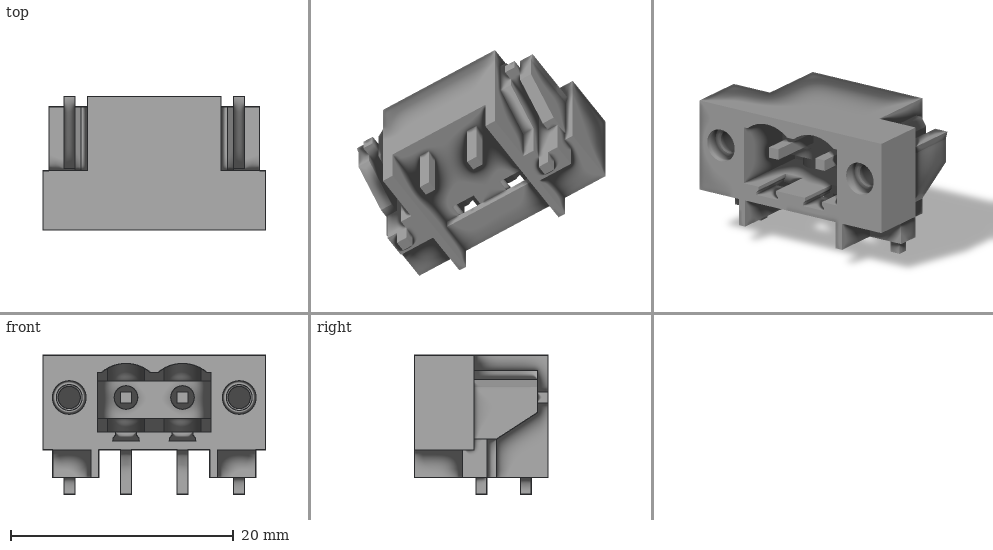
import cadquery as cq

WIDTH = 19.96
DEPTH = 12.0
HEIGHT = 11.0
TAIL_LENGTH = 1.5

FLANGE_DEPTH = 5.33
FOOT_HEIGHT = 2.5
BLOCK_HALF_WIDTH = 6.0

PIN_SIZE = 1.0
PIN_AXIS_Z = HEIGHT - 3.81
CONTACT_PITCH = 5.07
CONTACT_X = (-CONTACT_PITCH / 2, CONTACT_PITCH / 2)
CONTACT_TIP_Y = 1.0
CONTACT_REAR_Y = 10.5
ANCHOR_X = 7.6
ANCHOR_FRONT_Y = 5.5
SIDES = (-1, 1)

CAVITY_HALF_WIDTH = 5.1
CAVITY_DEPTH = 7.98
CAVITY_FLOOR_Z = HEIGHT - 6.89
CAVITY_CEILING_Z = HEIGHT - 1.55
ARCH_HALF_WIDTH = 2.18
ARCH_RISE = 0.8

SHELF_FRONT_Y = 5.99
SHELF_TOP_Z = HEIGHT - 2.34
SHELF_BOTTOM_Z = HEIGHT - 5.7
CONTACT_RECESS_DIAMETER = 2.12
CONTACT_RECESS_DEPTH = 0.5
PILLAR_HALF_WIDTH = 1.65
PILLAR_FACE_HALF_WIDTH = 1.25
PILLAR_FLANK_DEPTH = 0.64
PILLAR_DEPTH = 1.32

CODING_MOUTH_WIDTH = 1.9
CODING_BASE_WIDTH = 2.35
CODING_DEPTH = 0.82
CODING_MOUTH_HEIGHT = 0.32
CODING_BASE_HEIGHT = 0.24
CODING_LENGTH = 4.23
CODING_BASE_Z = CAVITY_FLOOR_Z - CODING_DEPTH
UNDERSIDE_FRONT_Y = 3.13

BUSH_X = 7.62
BUSH_AXIS_Z = PIN_AXIS_Z
BUSH_DIAMETER = 3.01
BUSH_BORE = 2.0
BUSH_MOUTH_DIAMETER = 2.32
BUSH_MOUTH_DEPTH = 0.1
BUSH_RECESS = 1.32
BUSH_LENGTH = 3.0

BRACKET_REAR_Y = 11.05
BRACKET_LIP_X = 9.45
BRACKET_OUTER_X = 9.26
BRACKET_WALL_TOP_Z = HEIGHT - 2.2
BRACKET_LIP_BASE_Z = HEIGHT - 2.91
BRACKET_RIB_TOP_Z = HEIGHT - 1.38
BRACKET_RIB_TOP_X = 6.59
BRACKET_SLOPE_TOP_Z = HEIGHT - 5.15
BRACKET_BASE_Z = HEIGHT - 7.55
BRACKET_BASE_REAR_Y = 7.37
ANCHOR_INNER_X = ANCHOR_X - PIN_SIZE / 2

FOOT_OUTER_X = 9.12
FOOT_FRONT_Y = 4.31
FOOT_REAR_Y = ANCHOR_FRONT_Y + PIN_SIZE
LEG_OUTER_X = 5.67
LEG_INNER_X = 4.97


def box(x_range, y_range, z_range):
    """Box between two limits on each axis, given in either order."""
    x0, x1 = sorted(x_range)
    y0, y1 = sorted(y_range)
    z0, z1 = sorted(z_range)
    return cq.Workplane("XY").box(x1 - x0, y1 - y0, z1 - z0, centered=False).translate((x0, y0, z0))


def prism_along_y(outline, y0, y1):
    """Prism with an XZ outline, running from y0 to y1."""
    return cq.Workplane("XZ", origin=(0, y0, 0)).polyline(outline).close().extrude(y0 - y1)


def cylinder_along_y(diameter, x, z, y0, y1):
    """Cylinder about the line at x and z, running from y0 to y1."""
    return cq.Workplane("XZ", origin=(x, y0, z)).circle(diameter / 2).extrude(y0 - y1)


def bent_pin(x, y_range, leg_rear_y):
    """Horizontal bar over y_range with a leg that ends below the feet."""
    x_range = (x - PIN_SIZE / 2, x + PIN_SIZE / 2)
    bar_z = (PIN_AXIS_Z - PIN_SIZE / 2, PIN_AXIS_Z + PIN_SIZE / 2)
    bar = box(x_range, y_range, bar_z)
    leg = box(x_range, (leg_rear_y - PIN_SIZE, leg_rear_y), (-TAIL_LENGTH, bar_z[1]))
    return bar.union(leg)


def contact_pin(x):
    return bent_pin(x, (CONTACT_TIP_Y, CONTACT_REAR_Y), CONTACT_REAR_Y)


def anchor_pin(side):
    return bent_pin(side * ANCHOR_X, (ANCHOR_FRONT_Y, DEPTH), FOOT_REAR_Y)


def screw_bush(side):
    y0 = BUSH_RECESS
    y1 = BUSH_RECESS + BUSH_LENGTH
    x = side * BUSH_X
    ring = cylinder_along_y(BUSH_DIAMETER, x, BUSH_AXIS_Z, y0, y1)
    ring = ring.cut(cylinder_along_y(BUSH_BORE, x, BUSH_AXIS_Z, y0, y1))
    mouth = (
        cq.Workplane("XZ", origin=(x, y0, BUSH_AXIS_Z))
        .circle(BUSH_MOUTH_DIAMETER / 2)
        .workplane(offset=-BUSH_MOUTH_DEPTH)
        .circle(BUSH_BORE / 2)
        .loft(ruled=True)
    )
    return ring.cut(mouth)


def housing_shell():
    flange = box((-WIDTH / 2, WIDTH / 2), (0, FLANGE_DEPTH), (FOOT_HEIGHT, HEIGHT))
    block = box((-BLOCK_HALF_WIDTH, BLOCK_HALF_WIDTH), (0, DEPTH), (FOOT_HEIGHT, HEIGHT))
    return flange.union(block)


def bracket(side):
    """Lipped outer wall and bevelled inner rib, with a sloped underside and a slot for the anchor pin."""
    section = [
        (side * BLOCK_HALF_WIDTH, BRACKET_RIB_TOP_Z),
        (side * BRACKET_RIB_TOP_X, BRACKET_RIB_TOP_Z),
        (side * ANCHOR_INNER_X, BRACKET_WALL_TOP_Z),
        (side * BRACKET_LIP_X, BRACKET_WALL_TOP_Z),
        (side * BRACKET_OUTER_X, BRACKET_LIP_BASE_Z),
        (side * BRACKET_OUTER_X, BRACKET_BASE_Z),
        (side * BLOCK_HALF_WIDTH, BRACKET_BASE_Z),
    ]
    body = prism_along_y(section, FLANGE_DEPTH, BRACKET_REAR_Y)
    underside = (
        cq.Workplane("YZ")
        .polyline([
            (BRACKET_BASE_REAR_Y, BRACKET_BASE_Z),
            (BRACKET_REAR_Y, BRACKET_SLOPE_TOP_Z),
            (BRACKET_REAR_Y, BRACKET_BASE_Z),
        ])
        .close()
        .extrude(WIDTH / 2, both=True)
    )
    return body.cut(underside)


def foot(side):
    """Foot block under the bracket, the rib behind it, and the leg along the block side."""
    block = box((side * LEG_OUTER_X, side * FOOT_OUTER_X), (FOOT_FRONT_Y, FLANGE_DEPTH), (0, FOOT_HEIGHT))
    rear_block = box(
        (side * LEG_OUTER_X, side * FOOT_OUTER_X), (FLANGE_DEPTH, FOOT_REAR_Y), (0, BRACKET_BASE_Z)
    )
    rib = box(
        (side * BLOCK_HALF_WIDTH, side * ANCHOR_INNER_X),
        (FLANGE_DEPTH, BRACKET_BASE_REAR_Y),
        (0, BRACKET_BASE_Z),
    )
    front_leg = box((side * LEG_INNER_X, side * LEG_OUTER_X), (0, FLANGE_DEPTH), (0, FOOT_HEIGHT))
    rear_leg = box(
        (side * LEG_INNER_X, side * BLOCK_HALF_WIDTH), (FLANGE_DEPTH, DEPTH), (0, FOOT_HEIGHT)
    )
    return block.union(rear_block).union(rib).union(front_leg).union(rear_leg)


def anchor_slot(side):
    """Slot between bracket wall and rib, open to the top, the rear and below."""
    x = side * ANCHOR_X
    return box((x - PIN_SIZE / 2, x + PIN_SIZE / 2), (ANCHOR_FRONT_Y, DEPTH), (0, HEIGHT))


def cavity_space():
    """Mating cavity whose ceiling rises in an arch above each contact."""
    outline = (
        cq.Workplane("XZ")
        .moveTo(-CAVITY_HALF_WIDTH, CAVITY_FLOOR_Z)
        .lineTo(-CAVITY_HALF_WIDTH, CAVITY_CEILING_Z)
    )
    for x in CONTACT_X:
        outline = outline.lineTo(x - ARCH_HALF_WIDTH, CAVITY_CEILING_Z).threePointArc(
            (x, CAVITY_CEILING_Z + ARCH_RISE), (x + ARCH_HALF_WIDTH, CAVITY_CEILING_Z)
        )
    outline = outline.lineTo(CAVITY_HALF_WIDTH, CAVITY_CEILING_Z)
    outline = outline.lineTo(CAVITY_HALF_WIDTH, CAVITY_FLOOR_Z)
    return outline.close().extrude(-CAVITY_DEPTH)


def contact_shelf():
    """Shelf across the cavity that carries the contacts, with a round recess around each."""
    shelf = box(
        (-CAVITY_HALF_WIDTH, CAVITY_HALF_WIDTH),
        (SHELF_FRONT_Y, CAVITY_DEPTH),
        (SHELF_BOTTOM_Z, SHELF_TOP_Z),
    )
    recess_end_y = SHELF_FRONT_Y + CONTACT_RECESS_DEPTH
    for x in CONTACT_X:
        shelf = shelf.cut(
            cylinder_along_y(CONTACT_RECESS_DIAMETER, x, PIN_AXIS_Z, SHELF_FRONT_Y, recess_end_y)
        )
    return shelf


def pillar(x):
    """Upright pillar on the cavity's rear wall, with sloped flanks and a rounded front."""
    flank_y = CAVITY_DEPTH - PILLAR_FLANK_DEPTH
    return (
        cq.Workplane("XY", origin=(x, 0, CAVITY_FLOOR_Z))
        .moveTo(-PILLAR_HALF_WIDTH, CAVITY_DEPTH)
        .lineTo(-PILLAR_FACE_HALF_WIDTH, flank_y)
        .threePointArc((0, CAVITY_DEPTH - PILLAR_DEPTH), (PILLAR_FACE_HALF_WIDTH, flank_y))
        .lineTo(PILLAR_HALF_WIDTH, CAVITY_DEPTH)
        .close()
        .extrude(HEIGHT - CAVITY_FLOOR_Z)
    )


def coding_slot(x):
    """Undercut slot in the cavity floor that runs out over the raised underside."""
    half_mouth = CODING_MOUTH_WIDTH / 2
    half_base = CODING_BASE_WIDTH / 2
    section = [
        (x - half_mouth, CAVITY_FLOOR_Z),
        (x - half_mouth, CAVITY_FLOOR_Z - CODING_MOUTH_HEIGHT),
        (x - half_base, CODING_BASE_Z + CODING_BASE_HEIGHT),
        (x - half_base, CODING_BASE_Z),
        (x + half_base, CODING_BASE_Z),
        (x + half_base, CODING_BASE_Z + CODING_BASE_HEIGHT),
        (x + half_mouth, CAVITY_FLOOR_Z - CODING_MOUTH_HEIGHT),
        (x + half_mouth, CAVITY_FLOOR_Z),
    ]
    return prism_along_y(section, 0, CODING_LENGTH)


def underside_space():
    """Space between the legs, up to the base of the coding slots and open at the rear."""
    return box(
        (-LEG_INNER_X, LEG_INNER_X), (UNDERSIDE_FRONT_Y, DEPTH), (FOOT_HEIGHT, CODING_BASE_Z)
    )


def bush_hole(side):
    return cylinder_along_y(BUSH_DIAMETER, side * BUSH_X, BUSH_AXIS_Z, 0, BUSH_RECESS + BUSH_LENGTH)


contact_pins = [contact_pin(x) for x in CONTACT_X]
anchor_pins = [anchor_pin(side) for side in SIDES]
screw_bushes = [screw_bush(side) for side in SIDES]

cavity = cavity_space().cut(contact_shelf())
for x in CONTACT_X:
    cavity = cavity.cut(pillar(x))

housing = housing_shell()
for side in SIDES:
    housing = housing.union(bracket(side)).union(foot(side))
    housing = housing.cut(anchor_slot(side)).cut(bush_hole(side))
housing = housing.cut(cavity).cut(underside_space())
for x in CONTACT_X:
    housing = housing.cut(coding_slot(x))
for pin in contact_pins:
    housing = housing.cut(pin)

result = cq.Compound.makeCompound(
    [housing.val()]
    + [pin.val() for pin in contact_pins]
    + [pin.val() for pin in anchor_pins]
    + [bush.val() for bush in screw_bushes]
)